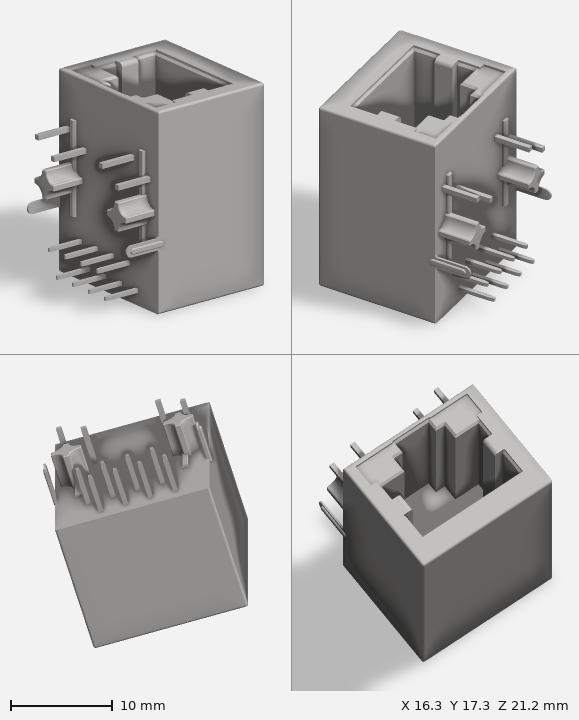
import cadquery as cq
import math


BODY_WIDTH = 15.85
BODY_DEPTH = 13.3
BODY_HEIGHT = 21.25
BODY_ROUND = 0.25
PIN_REACH = 4.0

RECESS_DEPTH = 0.25
LEAD_IN = 0.23
SOCKET_DEPTH = 13.81
SOCKET_HALF_WIDTH = 5.9
SOCKET_BACK = 10.48
SOCKET_FRONT = 3.65
STEP_HALF_WIDTH = 3.1
STEP_FRONT = 1.87
LATCH_HALF_WIDTH = 2.02
LATCH_FRONT = 0.68
CORNER_HALF_WIDTH = 6.78
CORNER_BACK = 3.08
CORNER_FRONT = 0.55
CORNER_ROUND = 0.2
KEY_GAP = 9.99
KEY_FRONT = 5.6
KEY_BACK = 7.63
KEY_ROUND = 0.47

RIB_OUTER_X = 5.82
RIB_INNER_X = 5.1
RIB_STANDOFF = 0.36
RIB_BOTTOM = 6.45
RIB_TOP = 16.55
RIB_INNER_CHAMFER = 0.17
RIB_OUTER_CHAMFER = 0.08

PEG_X = 5.74
PEG_Z = 10.45
PEG_LENGTH = 3.6
PEG_HALF_SPAN = 1.55
PEG_POINT_HALF_WIDTH = 0.35
PEG_POINT_BEVEL = 0.08
PEG_END_CHAMFER = 0.08

TAB_THICKNESS = 0.21
TAB_WIDTH = 1.23
TAB_Z = 7.4
TAB_ROOT_ROUND = 0.13
BEAD_HEIGHT = 0.2
BEAD_WIDTH = 0.65
BEAD_START = 0.55
BEAD_END = -3.53
BEAD_ROUND = 0.15

LED_PIN_SPAN = 12.7
PIN_PITCH = LED_PIN_SPAN / 10
CONTACT_COUNT = 8
CONTACT_WIDTH = 0.45
CONTACT_THICKNESS = 0.4
CONTACT_TIP_WIDTH = 0.28
CONTACT_TIP_LENGTH = 0.45
CONTACT_LOW_Z = 1.57
CONTACT_HIGH_Z = 4.1
LED_PIN_SIZE = 0.53
LED_PINS = ((-5, 15.35), (-3, 13.81), (3, 15.35), (5, 13.81))
EMBED = 0.21


def block(x_min, x_max, y_min, y_max, z_min, z_max):
    size = (x_max - x_min, y_max - y_min, z_max - z_min)
    return cq.Workplane("XY").box(*size, centered=False).translate((x_min, y_min, z_min))


def both_sides(shape):
    return shape.union(shape.mirror("YZ"))


def make_body():
    body = block(-BODY_WIDTH / 2, BODY_WIDTH / 2, 0, BODY_DEPTH, 0, BODY_HEIGHT)
    top_edges = body.faces(">Z").edges()
    rear_edges = body.faces(">Y").edges()
    side_bottom_edges = body.faces("<Z").edges("|Y")
    return top_edges.add(rear_edges).add(side_bottom_edges).fillet(BODY_ROUND)


def socket_outline(height):
    """Stepped plug outline, drawn on a horizontal plane at the given height."""
    right_side = [
        (SOCKET_HALF_WIDTH, SOCKET_BACK),
        (SOCKET_HALF_WIDTH, SOCKET_FRONT),
        (STEP_HALF_WIDTH, SOCKET_FRONT),
        (STEP_HALF_WIDTH, STEP_FRONT),
        (LATCH_HALF_WIDTH, STEP_FRONT),
        (LATCH_HALF_WIDTH, LATCH_FRONT),
    ]
    left_side = [(-x, y) for x, y in reversed(right_side)]
    return cq.Workplane("XY", origin=(0, 0, height)).polyline(right_side + left_side).close()


def make_recess():
    """Shallow step around the socket mouth, widened into corner ledges."""
    floor = BODY_HEIGHT - RECESS_DEPTH
    mouth = SOCKET_HALF_WIDTH + LEAD_IN
    latch = LATCH_HALF_WIDTH + LEAD_IN
    recess = block(-mouth, mouth, CORNER_FRONT, SOCKET_BACK + LEAD_IN, floor, BODY_HEIGHT)
    recess = recess.union(
        block(-CORNER_HALF_WIDTH, CORNER_HALF_WIDTH, CORNER_FRONT, CORNER_BACK, floor, BODY_HEIGHT)
    )
    for x in (-mouth, mouth):
        inner_corner = cq.selectors.NearestToPointSelector((x, CORNER_BACK, BODY_HEIGHT - RECESS_DEPTH / 2))
        recess = recess.edges("|Z").edges(inner_corner).fillet(CORNER_ROUND)
    return recess.union(block(-latch, latch, LATCH_FRONT - LEAD_IN, SOCKET_FRONT, floor, BODY_HEIGHT))


def make_key():
    """Full-depth guide on the +X wall of the socket, rounded at the mouth."""
    root = SOCKET_HALF_WIDTH + LEAD_IN + EMBED
    key = block(KEY_GAP / 2, root, KEY_FRONT, KEY_BACK, BODY_HEIGHT - SOCKET_DEPTH, BODY_HEIGHT)
    return key.edges("<X and >Z").fillet(KEY_ROUND)


def make_socket():
    lead_in_bottom = BODY_HEIGHT - RECESS_DEPTH - LEAD_IN
    socket_floor = BODY_HEIGHT - SOCKET_DEPTH
    well = socket_outline(socket_floor).extrude(lead_in_bottom - socket_floor)
    lead_in = socket_outline(lead_in_bottom).extrude(LEAD_IN, taper=-45)
    return well.union(lead_in).union(make_recess()).cut(both_sides(make_key()))


def make_rib():
    rib = block(RIB_INNER_X, RIB_OUTER_X, -RIB_STANDOFF, EMBED, RIB_BOTTOM, RIB_TOP)
    rib = rib.edges("<X and <Y").chamfer(RIB_INNER_CHAMFER)
    return rib.edges(">X and <Y").chamfer(RIB_OUTER_CHAMFER)


def make_peg():
    """Four-pointed star section with concave quarter-round sides."""
    flat_half_width = PEG_POINT_HALF_WIDTH - PEG_POINT_BEVEL
    arc_start = PEG_HALF_SPAN - PEG_POINT_BEVEL
    arc_radius = arc_start - PEG_POINT_HALF_WIDTH
    arc_middle = arc_start - arc_radius * math.sqrt(0.5)

    def turned(x, z, quarter):
        for _ in range(quarter):
            x, z = z, -x
        return x, z

    star = cq.Workplane("XZ", origin=(PEG_X, EMBED, PEG_Z))
    star = star.moveTo(-flat_half_width, PEG_HALF_SPAN)
    for quarter in range(4):
        star = star.lineTo(*turned(flat_half_width, PEG_HALF_SPAN, quarter))
        star = star.lineTo(*turned(PEG_POINT_HALF_WIDTH, arc_start, quarter))
        star = star.threePointArc(
            turned(arc_middle, arc_middle, quarter),
            turned(arc_start, PEG_POINT_HALF_WIDTH, quarter),
        )
        star = star.lineTo(*turned(PEG_HALF_SPAN, flat_half_width, quarter))
    peg = star.close().extrude(EMBED + PEG_LENGTH)
    return peg.faces("<Y").edges().chamfer(PEG_END_CHAMFER)


def make_tab():
    """Flat round-ended tab flush with the +X side face, stiffened by a raised bead."""
    side = BODY_WIDTH / 2
    inner = side - TAB_THICKNESS
    half_width = TAB_WIDTH / 2
    tip_start = -PIN_REACH + half_width
    tab = (
        cq.Workplane("YZ", origin=(inner, 0, TAB_Z))
        .moveTo(0, half_width + TAB_ROOT_ROUND)
        .radiusArc((-TAB_ROOT_ROUND, half_width), -TAB_ROOT_ROUND)
        .lineTo(tip_start, half_width)
        .threePointArc((-PIN_REACH, 0), (tip_start, -half_width))
        .lineTo(-TAB_ROOT_ROUND, -half_width)
        .radiusArc((0, -half_width - TAB_ROOT_ROUND), -TAB_ROOT_ROUND)
        .lineTo(EMBED, -half_width - TAB_ROOT_ROUND)
        .lineTo(EMBED, half_width + TAB_ROOT_ROUND)
        .close()
        .extrude(TAB_THICKNESS)
    )
    bead = (
        cq.Workplane("YZ", origin=(inner, (BEAD_START + BEAD_END) / 2, TAB_Z))
        .slot2D(BEAD_START - BEAD_END, BEAD_WIDTH)
        .extrude(TAB_THICKNESS + BEAD_HEIGHT)
        .faces(">X")
        .edges()
        .fillet(BEAD_ROUND)
    )
    return tab.union(bead)


def make_contact(x, z):
    half_width = CONTACT_WIDTH / 2
    half_tip = CONTACT_TIP_WIDTH / 2
    shoulder = -PIN_REACH + CONTACT_TIP_LENGTH
    outline = [
        (x - half_width, EMBED),
        (x - half_width, shoulder),
        (x - half_tip, -PIN_REACH),
        (x + half_tip, -PIN_REACH),
        (x + half_width, shoulder),
        (x + half_width, EMBED),
    ]
    base = cq.Workplane("XY", origin=(0, 0, z - CONTACT_THICKNESS / 2))
    return base.polyline(outline).close().extrude(CONTACT_THICKNESS)


def make_led_pin(x, z):
    half = LED_PIN_SIZE / 2
    return block(x - half, x + half, -PIN_REACH, EMBED, z - half, z + half)


result = make_body().cut(make_socket())
for feature in (make_rib(), make_peg(), make_tab()):
    result = result.union(both_sides(feature))

for index in range(CONTACT_COUNT):
    contact_x = (index - (CONTACT_COUNT - 1) / 2) * PIN_PITCH
    contact_z = CONTACT_HIGH_Z if index % 2 == 0 else CONTACT_LOW_Z
    result = result.union(make_contact(contact_x, contact_z))

for pitches, led_z in LED_PINS:
    result = result.union(make_led_pin(pitches * PIN_PITCH, led_z))